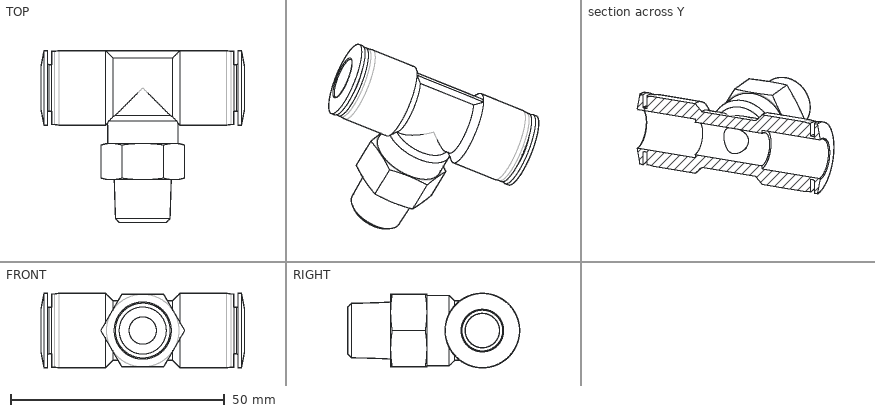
import cadquery as cq
import math

run_half_length = 23.845
run_diameter = 17.5
neck_diameter = 14.0
neck_half_length = 6.95
shoulder_chamfer = (run_diameter - neck_diameter) / 2
seam_x = 19.6
cap_diameter = 17.2
cap_x = 20.65
cap_end_x = 21.3

stem_diameter = 10.93
stem_root_diameter = 11.2
stem_root_x = 21.95
flange_back_x = 22.25
flange_rim_x = 23.13
nose_diameter = 10.0

socket_diameter = 9.53
socket_mouth_chamfer = (nose_diameter - socket_diameter) / 2
socket_bottom_x = neck_half_length + shoulder_chamfer
run_bore_diameter = 8.0
branch_bore_diameter = 6.4

web_thickness = 1.0

branch_diameter = 16.5
branch_cone_start = 6.5
branch_cone_end = branch_cone_start + (branch_diameter - neck_diameter) / 2

hex_across_flats = 17.0
hex_across_corners = hex_across_flats / math.cos(math.radians(30))
hex_start = 13.0
hex_end = 21.45
hex_chamfer_angle = 15.0

thread_end = 31.5
thread_root_diameter = 13.4
thread_taper = 1 / 16
thread_chamfer = 0.9


def revolve_about_x(stations):
    """Solid of revolution about X through (x, diameter) stations."""
    profile = cq.Workplane("XY").moveTo(stations[0][0], 0)
    for x, diameter in stations:
        profile = profile.lineTo(x, diameter / 2)
    profile = profile.lineTo(stations[-1][0], 0).close()
    return profile.revolve(360, (0, 0, 0), (1, 0, 0))


def revolve_about_branch(stations):
    """Solid of revolution about Y through (distance along -Y, diameter) stations."""
    profile = cq.Workplane("XY").moveTo(0, -stations[0][0])
    for distance, diameter in stations:
        profile = profile.lineTo(diameter / 2, -distance)
    profile = profile.lineTo(0, -stations[-1][0]).close()
    return profile.revolve(360, (0, 0, 0), (0, 1, 0))


def make_run():
    half = revolve_about_x([
        (0, neck_diameter),
        (neck_half_length, neck_diameter),
        (neck_half_length + shoulder_chamfer, run_diameter),
        (seam_x, run_diameter),
        (cap_x, cap_diameter),
        (cap_end_x, cap_diameter),
        (cap_end_x, stem_diameter),
        (stem_root_x, stem_diameter),
        (flange_back_x, stem_root_diameter),
        (flange_back_x, run_diameter),
        (flange_rim_x, run_diameter),
        (run_half_length, nose_diameter),
    ])
    return half.union(half.mirror("YZ"))


def make_web():
    depth = run_diameter / 2
    length = 2 * (neck_half_length + shoulder_chamfer)
    return cq.Workplane("XY").box(length, depth, web_thickness, centered=(True, False, True))


def make_branch():
    return revolve_about_branch([
        (0, neck_diameter),
        (branch_cone_start, neck_diameter),
        (branch_cone_end, branch_diameter),
        (hex_start, branch_diameter),
    ])


def make_hexagon():
    prism = (
        cq.Workplane("XZ", origin=(0, -hex_start, 0))
        .polygon(6, hex_across_corners)
        .extrude(hex_end - hex_start)
    )
    corner_height = (hex_across_corners - hex_across_flats) / 2
    corner_drop = corner_height * math.tan(math.radians(hex_chamfer_angle))
    corner_envelope = revolve_about_branch([
        (hex_start, hex_across_flats),
        (hex_start + corner_drop, hex_across_corners),
        (hex_end - corner_drop, hex_across_corners),
        (hex_end, hex_across_flats),
    ])
    return prism.intersect(corner_envelope)


def make_thread():
    chamfer_start = thread_end - thread_chamfer
    tip_diameter = thread_root_diameter - thread_taper * (chamfer_start - hex_end)
    return revolve_about_branch([
        (hex_end, thread_root_diameter),
        (chamfer_start, tip_diameter),
        (thread_end, tip_diameter - 2 * thread_chamfer),
    ])


def make_bores():
    socket = revolve_about_x([
        (0, run_bore_diameter),
        (socket_bottom_x, run_bore_diameter),
        (socket_bottom_x, socket_diameter),
        (run_half_length - socket_mouth_chamfer, socket_diameter),
        (run_half_length, nose_diameter),
    ])
    branch_bore = revolve_about_branch([
        (0, branch_bore_diameter),
        (thread_end, branch_bore_diameter),
    ])
    return socket.union(socket.mirror("YZ")).union(branch_bore)


body = make_run().union(make_web()).union(make_branch())
body = body.union(make_hexagon()).union(make_thread())
result = body.cut(make_bores())